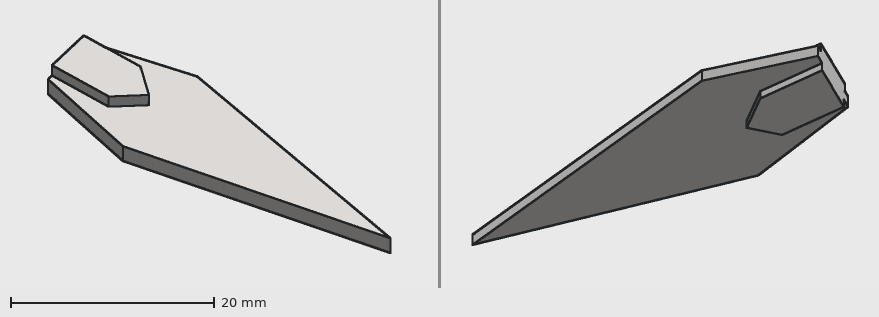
import cadquery as cq

axis_angle = 30.0
blade_length = 40.0
blade_half_base = 3.23
blade_shoulder = 11.42
blade_half_width = 6.02
blade_thickness = 2.1

pad_height = 1.45
top_half_width = 2.57
top_shoulder = 7.05
top_length = 10.05
bottom_half_width = 2.32
bottom_shoulder = 6.85
bottom_length = 9.57


def pointed_plate(half_base, half_width, shoulder, length, z_bottom, thickness):
    """Symmetric pentagon with its base at x = 0 and its point on +X."""
    outline = [
        (0, -half_base),
        (shoulder, -half_width),
        (length, 0),
        (shoulder, half_width),
        (0, half_base),
    ]
    return cq.Workplane("XY").workplane(offset=z_bottom).polyline(outline).close().extrude(thickness)


blade = pointed_plate(
    blade_half_base, blade_half_width, blade_shoulder, blade_length, 0, blade_thickness
)
top_pad = pointed_plate(
    top_half_width, top_half_width, top_shoulder, top_length, blade_thickness, pad_height
)
bottom_pad = pointed_plate(
    bottom_half_width, bottom_half_width, bottom_shoulder, bottom_length, -pad_height, pad_height
)

part = blade.union(top_pad).union(bottom_pad)
result = part.rotate((0, 0, 0), (0, 0, 1), axis_angle)